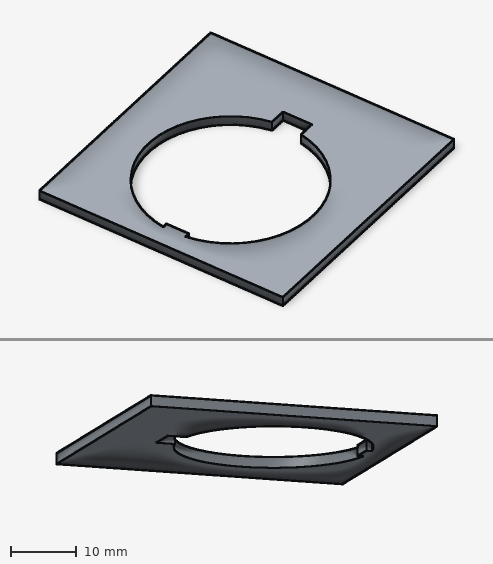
import cadquery as cq

plate_width = 44.8
plate_length = 45.75
plate_thickness = 1.7

hole_diameter = 30.3
hole_center_y = -4.3

notch_width = 5.3
notch_reach = 17.85
tab_width = 4.1
tab_reach = 14.15


def slab(width, y_low, y_high):
    """Full-thickness block centered on X, spanning y_low to y_high."""
    return (
        cq.Workplane("XY")
        .center(0, (y_low + y_high) / 2)
        .rect(width, y_high - y_low)
        .extrude(plate_thickness)
    )


plate = slab(plate_width, -plate_length / 2, plate_length / 2)

opening = (
    cq.Workplane("XY")
    .center(0, hole_center_y)
    .circle(hole_diameter / 2)
    .extrude(plate_thickness)
)
notch = slab(notch_width, hole_center_y, hole_center_y + notch_reach)
tab = slab(tab_width, hole_center_y - hole_diameter / 2, hole_center_y - tab_reach)

result = plate.cut(opening.union(notch).cut(tab))